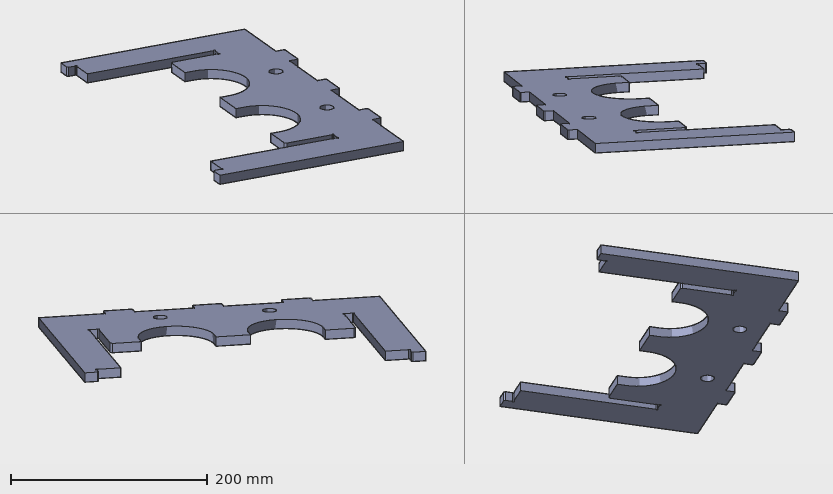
import cadquery as cq

plate_width = 356.0
plate_depth = 210.0
thickness = 10.0

tab_width = 30.4
tab_length = thickness
tab_pitch = 93.0
tab_positions = (-tab_pitch, 0.0, tab_pitch)

arm_width = 40.0
slot_width = thickness
panel_depth = 110.0
slot_end_depth = panel_depth / 2
arm_tip_width = 14.75
arm_tip_length = thickness

arch_spacing = 114.0
arch_width = 78.0
arch_top_depth = 61.0
hole_diameter = 14.0
hole_depth_from_rear = 26.0

tab_chamfer = 1.0
tip_chamfer = 1.5
panel_chamfer = 2.0
relief_radius = 1.0

half_width = plate_width / 2
arm_inner_x = half_width - arm_width
panel_half_width = arm_inner_x - slot_width
tip_inner_x = half_width - arm_tip_width
shoulder_y = arm_tip_length - plate_depth
arch_radius = arch_width / 2
arch_centre_y = -arch_top_depth - arch_radius
arch_positions = (-arch_spacing / 2, arch_spacing / 2)
sides = (-1, 1)


def block(x_min, x_max, y_min, y_max):
    """Full-thickness block between two X and two Y limits."""
    size_x = x_max - x_min
    size_y = y_max - y_min
    return cq.Workplane("XY").box(size_x, size_y, thickness, centered=False).translate((x_min, y_min, 0))


def disc(x, y, radius):
    """Full-thickness cylinder standing on the underside plane."""
    return cq.Workplane("XY").center(x, y).circle(radius).extrude(thickness)


def side_block(side, inner_x, outer_x, y_min, y_max):
    """Block given by distances from the centre line, placed on one side of it."""
    x_min, x_max = sorted((side * inner_x, side * outer_x))
    return block(x_min, x_max, y_min, y_max)


def tab(x):
    """Rear tab with its two outer corners chamfered."""
    body = block(x - tab_width / 2, x + tab_width / 2, 0, tab_length)
    return body.edges("|Z and >Y").chamfer(tab_chamfer)


def centre_panel():
    """Panel reaching forward between the slots, with its front corners chamfered."""
    body = block(-panel_half_width, panel_half_width, -panel_depth, 0)
    return body.edges("|Z and <Y").chamfer(panel_chamfer)


def arm(side):
    """Side arm ending in a narrow tip along its outer edge, chamfered on the inside."""
    body = side_block(side, arm_inner_x, half_width, shoulder_y, 0)
    tip = side_block(side, tip_inner_x, half_width, -plate_depth, shoulder_y)
    inner_edge = "<X" if side > 0 else ">X"
    tip = tip.edges("|Z and <Y").edges(inner_edge).chamfer(tip_chamfer)
    return body.union(tip)


def arch(x):
    """Round-topped opening that runs out through the front of the panel."""
    mouth = block(x - arch_radius, x + arch_radius, -panel_depth, arch_centre_y)
    return mouth.union(disc(x, arch_centre_y, arch_radius))


result = block(-half_width, half_width, -slot_end_depth, 0).union(centre_panel())
for side in sides:
    result = result.union(arm(side))
for x in tab_positions:
    result = result.union(tab(x))

for x in arch_positions:
    result = result.cut(arch(x))
    result = result.cut(disc(x, -hole_depth_from_rear, hole_diameter / 2))

for side in sides:
    result = result.cut(disc(side * arm_inner_x, -slot_end_depth, relief_radius))
    result = result.cut(disc(side * panel_half_width, -slot_end_depth, relief_radius))
    result = result.cut(disc(side * tip_inner_x, shoulder_y, relief_radius))